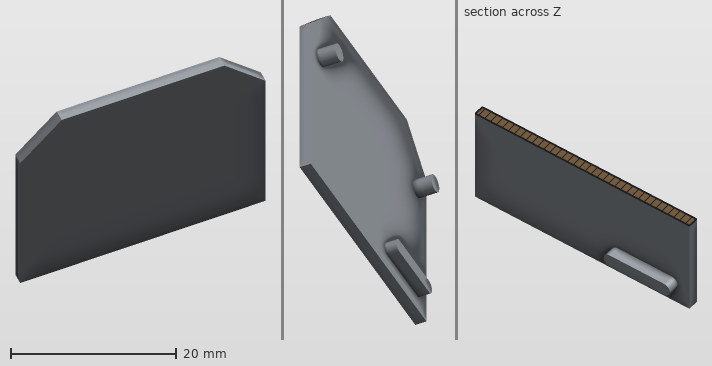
import cadquery as cq

plate_width = 32.5
plate_height = 28.0
plate_thickness = 1.5
corner_cut = 5.5

peg_diameter = 2.3
peg_length = 2.5
peg_edge_distance = 2.75
peg_height = 19.0

rib_length = 10.05
rib_width = 1.82
rib_projection = 1.6
rib_edge_distance = 1.75
rib_height = 3.0

half_width = plate_width / 2
peg_offset = half_width - peg_edge_distance
rib_center = -half_width + rib_edge_distance + rib_length / 2


def make_plate():
    """Plate from x = 0 to +X, with both upper corners cut at 45 degrees."""
    blank = cq.Workplane("YZ").rect(plate_width, plate_height).extrude(plate_thickness)
    blank = blank.translate((0, 0, plate_height / 2))
    return blank.faces(">Z").edges("|X").chamfer(corner_cut)


def make_pegs():
    """Pair of pegs, symmetric about the middle of the plate."""
    centers = [(side * peg_offset, peg_height) for side in (-1, 1)]
    return cq.Workplane("YZ").pushPoints(centers).circle(peg_diameter / 2).extrude(-peg_length)


def make_rib():
    """Low rib with full-round ends, along the lower edge toward -Y."""
    return (
        cq.Workplane("YZ")
        .center(rib_center, rib_height)
        .slot2D(rib_length, rib_width)
        .extrude(-rib_projection)
    )


result = make_plate().union(make_pegs()).union(make_rib())